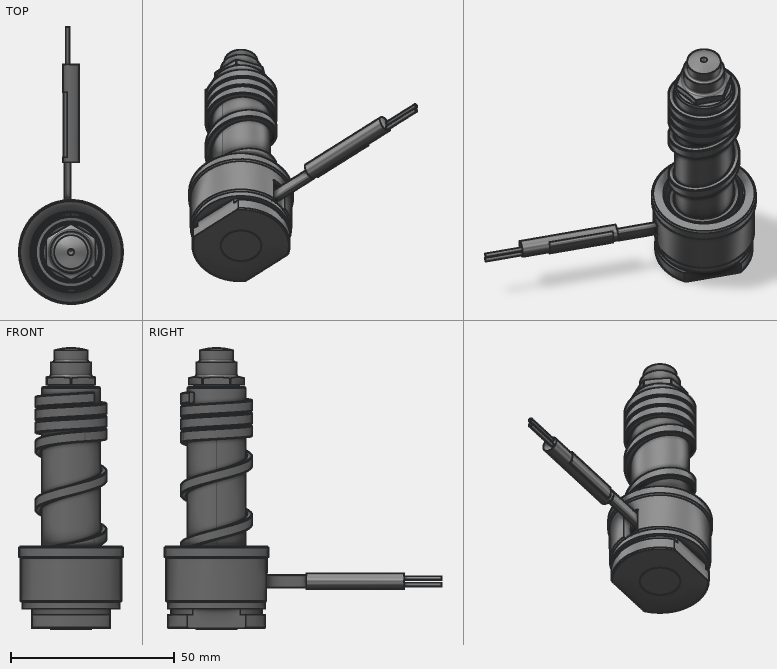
import cadquery as cq
import math

boss_radius = 6.2
boss_height = 0.2
foot_radius = 15.0
foot_top = 4.4
foot_chamfer = 0.4
foot_flat_width = 24.0
groove_radius = 14.0
collar_bottom = 6.2
body_bottom = 8.2
body_radius = 15.5
flange_radius = 16.0
flange_bottom = 22.2
flange_top = 25.4
rim_chamfer = 0.5
well_radius = 12.0
well_floor_chamfer = 0.5

column_radius = 9.0
column_top = 74.3
neck_radius = 7.0
hex_bottom = 74.8
hex_top = 77.3
hex_flats = 15.0
hex_corner_radius = 8.55
hex_slope_drop = 0.4
shank_radius = 6.25
shank_fillet = 0.75
shank_top = 81.8
tip_radius = 5.15
tip_fillet = 0.7
tip_edge = 85.4
overall_height = 86.2
orifice_radius = 1.0
orifice_depth = 1.0

band_radius = 11.0
band_height = 3.4
band_chamfer = 0.3
band_overlap = 0.4
band_inner_chamfer = 0.45
close_pitch = 3.9
spread_pitch = 17.9
band_top_angle = -49.5
band_top_height = 70.95
upper_close_sweep = 3 * 360 + 17.8
blend_sweep = 128.5
spread_sweep = 575.0
lower_close_sweep = 2 * 360
points_per_turn = 24

cable_center_z = 14.65
cable_center_x = -1.0
cable_width = 2.0
cable_height = 4.0
cable_corner = 0.5
cable_start = 9.5
sleeve_radius = 2.5
sleeve_start = 27.5
sleeve_length = 30.0
lead_radius = 0.6
lead_spacing = 2.0
lead_end = 69.0
window_start = 29.0
window_length = 20.0
window_face_x = -1.2
core_face_x = -2.35
core_height = 4.5
core_corner = 0.9
slot_width = 5.2
slot_top = 17.3


def cylinder(radius, bottom, top):
    return cq.Workplane("XY").workplane(offset=bottom).circle(radius).extrude(top - bottom)


def bar_along_y(profile_width, profile_height, corner, x, start, end):
    """Round-cornered rectangular bar parallel to Y at the cable height."""
    blank = cq.Workplane("XY").box(profile_width, end - start, profile_height)
    return blank.edges("|Y").fillet(corner).translate((x, (start + end) / 2, cable_center_z))


def rod_along_y(radius, x, z, start, end):
    return cq.Workplane("XZ", origin=(x, start, z)).circle(radius).extrude(start - end)


def make_foot():
    """Grooved foot with two wrench flats facing X, a shallow boss below and a collar above."""
    foot = cylinder(foot_radius, boss_height, foot_top).faces("<Z").edges().chamfer(foot_chamfer)
    foot = foot.union(cylinder(groove_radius, foot_top, collar_bottom))
    flats = cq.Workplane("XY").box(
        foot_flat_width, 2 * body_radius, collar_bottom, centered=(True, True, False)
    )
    boss = cylinder(boss_radius, 0, boss_height)
    collar = cylinder(foot_radius, collar_bottom, body_bottom)
    return foot.intersect(flats).union(boss).union(collar)


def make_cup():
    """Flanged cup around the coil, with a cable slot through its +Y wall."""
    body = cylinder(body_radius, body_bottom, flange_bottom).faces("<Z").edges().chamfer(rim_chamfer)
    flange_underside = flange_bottom - rim_chamfer
    flange = cylinder(flange_radius, flange_underside, flange_top)
    flange = flange.faces(">Z or <Z").edges().chamfer(rim_chamfer)
    well = cylinder(well_radius, body_bottom, flange_top)
    well = well.faces("<Z").edges().chamfer(well_floor_chamfer)
    slot = cq.Workplane("XY", origin=(0, 0, body_bottom)).box(
        slot_width, flange_radius, slot_top - body_bottom, centered=(True, False, False)
    )
    cup = body.union(flange).cut(well).cut(slot)
    mouth = cup.faces(">Z").edges(cq.selectors.RadiusNthSelector(0))
    return mouth.chamfer(rim_chamfer)


def make_column():
    column = cylinder(column_radius, body_bottom, column_top).faces(">Z").edges().chamfer(rim_chamfer)
    return column.union(cylinder(neck_radius, column_top, hex_bottom))


def make_hexagon():
    """Hexagon with rounded corners and a top that slopes gently outward from the shank fillet."""
    across_corners = hex_flats / math.cos(math.pi / 6)
    prism = (
        cq.Workplane("XY", origin=(0, 0, hex_bottom))
        .transformed(rotate=(0, 0, 90))
        .polygon(6, across_corners)
        .extrude(hex_top - hex_bottom)
    )
    rounding = cylinder(hex_corner_radius, hex_bottom, hex_top)
    slope_width = hex_corner_radius - shank_radius - shank_fillet
    rounding = rounding.faces(">Z").edges().chamfer(hex_slope_drop, slope_width)
    return prism.intersect(rounding)


def make_tip():
    """Revolved shank and domed tip with concave fillets and a conical orifice."""
    bend = 1 - math.sqrt(0.5)
    dome_rise = overall_height - tip_edge
    dome_radius = (tip_radius**2 + dome_rise**2) / (2 * dome_rise)
    mid_radius = tip_radius / 2
    mid_height = overall_height - dome_radius + math.sqrt(dome_radius**2 - mid_radius**2)
    profile = (
        cq.Workplane("XZ")
        .moveTo(0, hex_bottom)
        .lineTo(shank_radius, hex_bottom)
        .lineTo(shank_radius + shank_fillet, hex_top)
        .threePointArc(
            (shank_radius + shank_fillet * bend, hex_top + shank_fillet * bend),
            (shank_radius, hex_top + shank_fillet),
        )
        .lineTo(shank_radius, shank_top)
        .lineTo(tip_radius + tip_fillet, shank_top)
        .threePointArc(
            (tip_radius + tip_fillet * bend, shank_top + tip_fillet * bend),
            (tip_radius, shank_top + tip_fillet),
        )
        .lineTo(tip_radius, tip_edge)
        .threePointArc((mid_radius, mid_height), (0, overall_height))
        .close()
    )
    tip = profile.revolve(360, (0, 0, 0), (0, 1, 0))
    cone = cq.Solid.makeCone(
        0, orifice_radius, orifice_depth, pnt=cq.Vector(0, 0, overall_height - orifice_depth)
    )
    return tip.cut(cq.Workplane(cone))


def band_stretches():
    """Each stretch of the band from the top down: sweep angle, pitch at its start and at its end."""
    return [
        (upper_close_sweep, close_pitch, close_pitch),
        (blend_sweep, close_pitch, spread_pitch),
        (spread_sweep, spread_pitch, spread_pitch),
        (blend_sweep, spread_pitch, close_pitch),
        (lower_close_sweep, close_pitch, close_pitch),
    ]


def band_section():
    """Radius and height offset of each corner of the band, around its section."""
    inner = column_radius - band_overlap
    half = band_height / 2
    inner_edge = column_radius + band_inner_chamfer
    inner_half = half - band_inner_chamfer - band_overlap
    return [
        (inner, -inner_half),
        (inner_edge, -half),
        (band_radius - band_chamfer, -half),
        (band_radius, -half + band_chamfer),
        (band_radius, half - band_chamfer),
        (band_radius - band_chamfer, half),
        (inner_edge, half),
        (inner, inner_half),
    ]


def band_point(corner, angle, height):
    radius, offset = corner
    turn = math.radians(angle)
    return cq.Vector(radius * math.cos(turn), radius * math.sin(turn), height + offset)


def cap_face(angle, height):
    corners = [band_point(corner, angle, height) for corner in band_section()]
    return cq.Face.makeFromWires(cq.Wire.makePolygon(corners, close=True))


def stretch_faces(angle, height, sweep, pitch_start, pitch_end):
    """Skin of one stretch whose pitch changes evenly along its sweep."""
    steps = math.ceil(sweep / 360 * points_per_turn)
    edges = []
    for corner in band_section():
        points = []
        for step in range(steps + 1):
            fraction = step / steps
            mean_pitch = pitch_start + (pitch_end - pitch_start) * fraction / 2
            drop = mean_pitch * sweep * fraction / 360
            points.append(band_point(corner, angle - sweep * fraction, height - drop))
        edges.append(cq.Edge.makeSpline(points))
    return [cq.Face.makeRuledSurface(edges[i - 1], edges[i]) for i in range(len(edges))]


def make_band():
    angle = band_top_angle
    height = band_top_height
    faces = [cap_face(angle, height)]
    for sweep, pitch_start, pitch_end in band_stretches():
        faces += stretch_faces(angle, height, sweep, pitch_start, pitch_end)
        angle -= sweep
        height -= (pitch_start + pitch_end) / 2 * sweep / 360
    faces.append(cap_face(angle, height))
    solid = cq.Solid.makeSolid(cq.Shell.makeShell(faces))
    return cq.Workplane(solid.fix())


def make_cable():
    """Flat cable, the sleeve with its window and exposed core, and the two leads beyond it."""
    sleeve_end = sleeve_start + sleeve_length
    window_end = window_start + window_length
    sleeve = rod_along_y(sleeve_radius, 0, cable_center_z, sleeve_start, sleeve_end)
    window = cq.Workplane("XY").box(sleeve_radius, window_length, 2 * sleeve_radius)
    window_center_x = window_face_x - sleeve_radius / 2
    window = window.translate((window_center_x, (window_start + window_end) / 2, cable_center_z))
    core_width = -2 * core_face_x
    core = bar_along_y(core_width, core_height, core_corner, 0, window_start, window_end)
    sleeve = sleeve.cut(window).union(core.intersect(window))
    cable = bar_along_y(
        cable_width, cable_height, cable_corner, cable_center_x, cable_start, sleeve_start
    )
    cable = cable.union(sleeve)
    for side in (-1, 1):
        lead_z = cable_center_z + side * lead_spacing / 2
        cable = cable.union(rod_along_y(lead_radius, cable_center_x, lead_z, sleeve_end, lead_end))
    return cable


result = make_foot().union(make_cup()).union(make_column()).union(make_hexagon()).union(make_tip())
result = result.union(make_band()).union(make_cable())